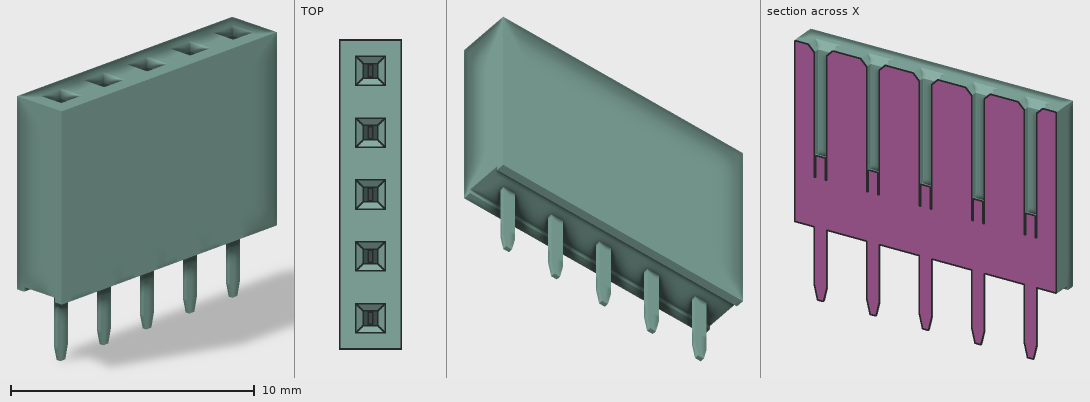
import cadquery as cq

pin_count = 5
pitch = 2.54
housing_width = pitch
housing_length = pin_count * pitch
housing_height = 8.5
overall_height = 11.6

foot_width = 0.4
channel_depth = 0.2
channel_width = housing_width - 2 * foot_width

mouth_size = 1.2
socket_size = 0.6
mouth_depth = (mouth_size - socket_size) / 2
socket_depth = 6.0

pin_thickness = 0.2
pin_width = 0.61
pin_upper_width = 0.5
pin_tip_width = 0.3
pin_taper_length = 0.64
pin_rise = 1.0

housing_bottom = overall_height - housing_height
socket_floor = overall_height - socket_depth
pin_top = socket_floor + pin_rise

pin_positions = [(i - (pin_count - 1) / 2) * pitch for i in range(pin_count)]


def make_housing():
    """Rectangular block with a full-length channel in its underside."""
    block = (
        cq.Workplane("XY", origin=(0, 0, housing_bottom))
        .rect(housing_width, housing_length)
        .extrude(housing_height)
    )
    channel = (
        cq.Workplane("XY", origin=(0, 0, housing_bottom))
        .rect(channel_width, housing_length)
        .extrude(channel_depth)
    )
    return block.cut(channel)


def make_socket(y):
    """Square blind hole with a tapered mouth, to be cut from the housing."""
    mouth = (
        cq.Workplane("XY", origin=(0, y, overall_height))
        .rect(mouth_size, mouth_size)
        .workplane(offset=-mouth_depth)
        .rect(socket_size, socket_size)
        .loft(combine=True)
    )
    shaft = (
        cq.Workplane("XY", origin=(0, y, socket_floor))
        .rect(socket_size, socket_size)
        .extrude(socket_depth - mouth_depth)
    )
    return mouth.union(shaft)


def make_pin(y):
    """Flat pin, tapered across its width at the lower tip and narrowed inside the socket."""
    return (
        cq.Workplane("YZ", origin=(0, y, 0))
        .moveTo(-pin_tip_width / 2, 0)
        .lineTo(pin_tip_width / 2, 0)
        .lineTo(pin_width / 2, pin_taper_length)
        .lineTo(pin_width / 2, socket_floor)
        .lineTo(pin_upper_width / 2, socket_floor)
        .lineTo(pin_upper_width / 2, pin_top)
        .lineTo(-pin_upper_width / 2, pin_top)
        .lineTo(-pin_upper_width / 2, socket_floor)
        .lineTo(-pin_width / 2, socket_floor)
        .lineTo(-pin_width / 2, pin_taper_length)
        .close()
        .extrude(pin_thickness / 2, both=True)
    )


result = make_housing()
for y in pin_positions:
    result = result.cut(make_socket(y)).union(make_pin(y))